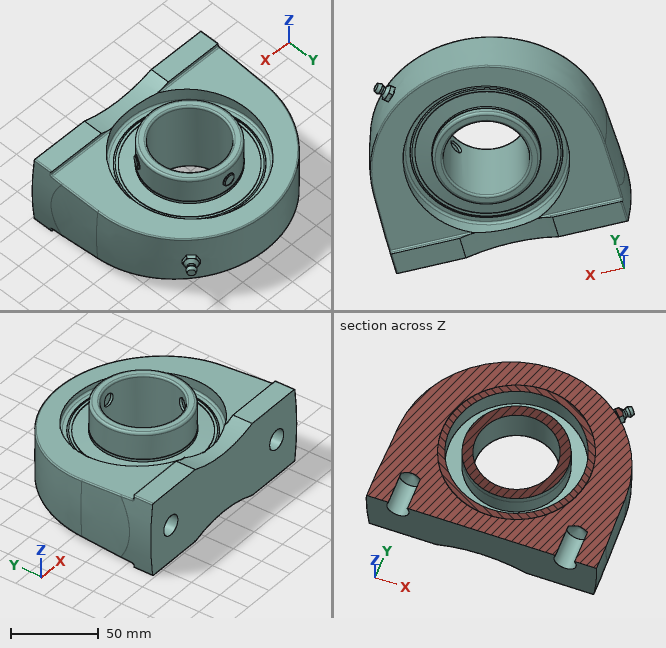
import cadquery as cq
import math


shaft_height = 57.0
housing_depth = 117.0
flange_width = 140.0
flange_height = 51.0
flange_thick = 13.6
flange_side_sag = 1.8
waist_half_width = 27.3
waist_depth = 5.0
dome_shoulder_y = 50.1
dome_shoulder_half_width = 69.0
dome_foot_half_width = 70.4
dome_side_sag = 1.5
wedge_taper = 3.75
wedge_half_height_foot = 22.7
edge_round = 0.8
flange_root_round = 0.8
recess_dia = 94.8
recess_floor_round = 1.4
bolt_hole_dia = 13.5
bolt_hole_spacing = 101.5
bolt_hole_depth = 21.0
drill_point_angle = 118.0

outer_ring_sphere_dia = 90.0
outer_ring_width = 24.1
outer_ring_bore = 81.3
outer_ring_chamfer = 1.0
inner_ring_top = 32.6
inner_ring_bottom = -19.0
inner_ring_bore = 49.3
inner_ring_dia = 61.7
inner_ring_land_dia = 62.3
inner_ring_land_half_width = 14.3
inner_ring_outer_round = 1.7
inner_ring_bore_round = 1.3
seal_rim_z = 11.6
seal_lip_z = 12.6
seal_thick = 2.1

screw_dia = 8.4
screw_z = 22.5
screw_inner_radius = 26.0
screw_outer_radius = 31.8
screw_chamfer = 0.5
screw_angles = (90.0, -30.0)

nipple_angle = 45.0
shank_dia = 6.0
shank_start = 54.6
hex_across_flats = 9.0
hex_start = 62.9
hex_end = 65.5
shoulder_end = 67.5
neck_end = 68.6
head_wide_station = 70.1
nipple_tip = 72.5
neck_dia = 4.8
head_dia = 6.5
tip_dia = 5.0

half_ring_width = outer_ring_width / 2


def moved_to_shaft(body):
    return body.translate((0, shaft_height, 0))


def turned_about_shaft(profile):
    """Revolve a closed (radius, z) profile about the Z axis."""
    return profile.close().revolve(360, (0, 0, 0), (0, 1, 0))


def radial_plane(angle, radius, z):
    """Plane facing outward at the given angle and radius from the shaft axis."""
    direction = cq.Vector(math.cos(math.radians(angle)), math.sin(math.radians(angle)), 0)
    origin = direction * radius + cq.Vector(0, shaft_height, z)
    return cq.Plane(origin=origin, xDir=(0, 0, 1), normal=direction)


def dome_outline(z, side_sag):
    """Dome outline at height z, with both flanks drawn in by side_sag."""
    shoulder_x = dome_shoulder_half_width - side_sag
    foot_x = dome_foot_half_width - side_sag
    return (
        cq.Workplane("XY", origin=(0, 0, z))
        .moveTo(-foot_x, 0)
        .lineTo(-shoulder_x, dome_shoulder_y)
        .threePointArc((0, housing_depth), (shoulder_x, dome_shoulder_y))
        .lineTo(foot_x, 0)
        .close()
        .val()
    )


def make_bowed_dome():
    """Full-height dome whose flanks bow outward at mid-height."""
    half_height = flange_height / 2
    outlines = [
        dome_outline(-half_height, dome_side_sag),
        dome_outline(0, 0),
        dome_outline(half_height, dome_side_sag),
    ]
    return cq.Workplane(cq.Solid.makeLoft(outlines))


def make_bowed_ends():
    """Slab with the bowed flange ends running the whole depth of the housing."""
    half_height = flange_height / 2
    half_width = flange_width / 2
    corner_x = half_width - flange_side_sag
    return (
        cq.Workplane("XZ")
        .moveTo(-corner_x, half_height)
        .lineTo(corner_x, half_height)
        .threePointArc((half_width, 0), (corner_x, -half_height))
        .lineTo(-corner_x, -half_height)
        .threePointArc((-half_width, 0), (-corner_x, half_height))
        .close()
        .extrude(-flange_width)
    )


def make_stepped_wedge():
    """Flange and tapered body, seen along X, with the flange roots rounded."""
    half_height = flange_height / 2
    foot = wedge_half_height_foot
    far_y = housing_depth + flange_thick
    far = foot - (far_y - flange_thick) * math.tan(math.radians(wedge_taper))
    return (
        cq.Workplane("YZ")
        .polyline([
            (0, half_height),
            (flange_thick, half_height),
            (flange_thick, foot),
            (far_y, far),
            (far_y, -far),
            (flange_thick, -foot),
            (flange_thick, -half_height),
            (0, -half_height),
        ])
        .close()
        .extrude(flange_width, both=True)
        .edges(cq.selectors.BoxSelector(
            (-flange_width, flange_thick - 0.1, -foot - 0.1),
            (flange_width, flange_thick + 0.1, foot + 0.1),
        ))
        .fillet(flange_root_round)
    )


def make_waist_cutter(side):
    """Shallow round-bottomed cut across the flange; side is +1 for the top and -1 for the bottom."""
    surface_z = side * flange_height / 2
    bottom_z = surface_z - side * waist_depth
    return (
        cq.Workplane("XZ")
        .moveTo(-waist_half_width, surface_z)
        .threePointArc((0, bottom_z), (waist_half_width, surface_z))
        .close()
        .extrude(-flange_thick)
    )


def make_blank():
    """Dome and flange with their rounded outline, before any cuts."""
    blank = make_stepped_wedge().intersect(make_bowed_ends()).intersect(make_bowed_dome())
    outline = blank.edges("not |X").filter(lambda edge: abs(edge.Center().z) > flange_height / 4)
    return outline.fillet(edge_round)


def make_seat_cutter():
    """Spherical seat for the outer ring with a round recess above and below."""
    sphere = cq.Workplane("XY").sphere(outer_ring_sphere_dia / 2)
    recess = (
        cq.Workplane("XY", origin=(0, 0, half_ring_width))
        .circle(recess_dia / 2)
        .extrude(flange_height)
        .faces("<Z")
        .edges()
        .fillet(recess_floor_round)
    )
    return moved_to_shaft(sphere.union(recess).union(recess.mirror("XY")))


def make_bolt_hole_cutter(x):
    radius = bolt_hole_dia / 2
    point_depth = radius / math.tan(math.radians(drill_point_angle / 2))
    return (
        cq.Workplane("XY", origin=(x, 0, 0))
        .polyline([
            (0, 0),
            (radius, 0),
            (radius, bolt_hole_depth),
            (0, bolt_hole_depth + point_depth),
        ])
        .close()
        .revolve(360, (0, 0, 0), (0, 1, 0))
    )


def make_housing():
    housing = make_blank().cut(make_seat_cutter())
    for side in (-1, 1):
        housing = housing.cut(make_waist_cutter(side))
        housing = housing.cut(make_bolt_hole_cutter(side * bolt_hole_spacing / 2))
    nipple_hole = (
        cq.Workplane(radial_plane(nipple_angle, shank_start, 0))
        .circle(shank_dia / 2)
        .extrude(hex_start - shank_start)
    )
    return housing.cut(nipple_hole)


def make_outer_ring():
    """Ring with a spherical outside that swivels in the housing seat."""
    slab = cq.Workplane("XY").box(flange_width, flange_width, outer_ring_width)
    ring = cq.Workplane("XY").sphere(outer_ring_sphere_dia / 2).intersect(slab)
    ring = ring.faces("<Z or >Z").edges().chamfer(outer_ring_chamfer)
    bore = cq.Workplane("XY").circle(outer_ring_bore / 2).extrude(outer_ring_width, both=True)
    return moved_to_shaft(ring.cut(bore))


def make_inner_ring():
    """Wide inner ring with a raised land under the seals and two set-screw holes."""
    ring = (
        cq.Workplane("XY", origin=(0, 0, inner_ring_bottom))
        .circle(inner_ring_dia / 2)
        .circle(inner_ring_bore / 2)
        .extrude(inner_ring_top - inner_ring_bottom)
    )
    for end in ("<Z", ">Z"):
        ring = ring.faces(end).edges(cq.selectors.RadiusNthSelector(1)).fillet(inner_ring_outer_round)
        ring = ring.faces(end).edges(cq.selectors.RadiusNthSelector(0)).fillet(inner_ring_bore_round)
    land = (
        cq.Workplane("XY")
        .circle(inner_ring_land_dia / 2)
        .circle((inner_ring_bore + inner_ring_dia) / 4)
        .extrude(inner_ring_land_half_width, both=True)
    )
    ring = moved_to_shaft(ring.union(land))
    for angle in screw_angles:
        hole = cq.Workplane(radial_plane(angle, 0, screw_z)).circle(screw_dia / 2).extrude(inner_ring_dia)
        ring = ring.cut(hole)
    return ring


def make_seal(side):
    """Slightly coned seal ring; side is +1 for the top and -1 for the bottom."""
    rim = outer_ring_bore / 2
    lip = inner_ring_land_dia / 2
    profile = cq.Workplane("XZ").polyline([
        (lip, side * seal_lip_z),
        (rim, side * seal_rim_z),
        (rim, side * (seal_rim_z - seal_thick)),
        (lip, side * (seal_lip_z - seal_thick)),
    ])
    return moved_to_shaft(turned_about_shaft(profile))


def make_set_screw(angle):
    return (
        cq.Workplane(radial_plane(angle, screw_inner_radius, screw_z))
        .circle(screw_dia / 2)
        .extrude(screw_outer_radius - screw_inner_radius)
        .faces(cq.selectors.DirectionMinMaxSelector(radial_plane(angle, 0, 0).zDir))
        .edges()
        .chamfer(screw_chamfer)
    )


def make_grease_nipple():
    """Hexagon on a plain shank, with a coned shoulder, a neck and a coned head."""
    hexagon = (
        cq.Workplane("XY", origin=(0, 0, hex_start))
        .polygon(6, hex_across_flats, circumscribed=True)
        .extrude(hex_end - hex_start)
    )
    turned = turned_about_shaft(
        cq.Workplane("XZ").polyline([
            (0, shank_start),
            (shank_dia / 2, shank_start),
            (shank_dia / 2, hex_start),
            (hex_across_flats / 2, hex_start),
            (hex_across_flats / 2, hex_end),
            (neck_dia / 2, shoulder_end),
            (neck_dia / 2, neck_end),
            (head_dia / 2, head_wide_station),
            (tip_dia / 2, nipple_tip),
            (0, nipple_tip),
        ])
    )
    upright = turned.union(hexagon).val()
    return cq.Workplane(upright.moved(radial_plane(nipple_angle, 0, 0).location))


housing = make_housing()
outer_ring = make_outer_ring()
inner_ring = make_inner_ring()
seals = [make_seal(side) for side in (-1, 1)]
set_screws = [make_set_screw(angle) for angle in screw_angles]
grease_nipple = make_grease_nipple()

result = cq.Compound.makeCompound([
    housing.val(),
    outer_ring.val(),
    inner_ring.val(),
    *[seal.val() for seal in seals],
    *[screw.val() for screw in set_screws],
    grease_nipple.val(),
])